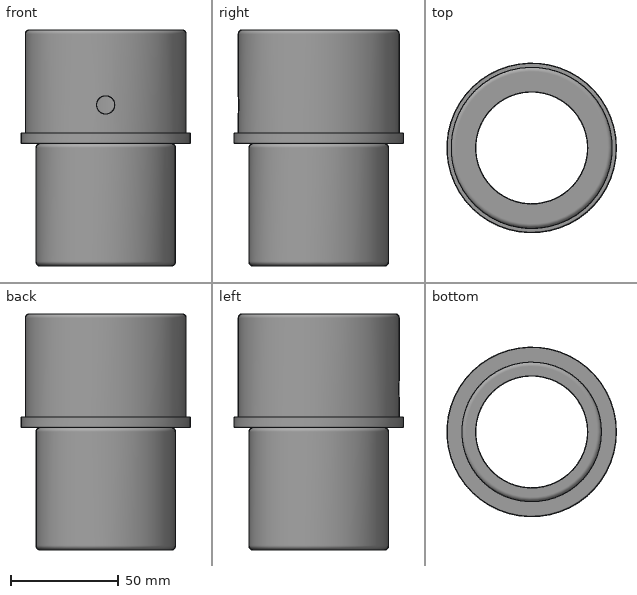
import cadquery as cq

total_height = 110.0
head_diameter = 75.0
head_height = 48.0
flange_diameter = 79.0
flange_thickness = 5.1
spigot_diameter = 65.0
bore_diameter = 52.0
end_fillet = 2.0
flange_fillet = 0.5
hole_diameter = 8.5
hole_drop = 35.0

flange_top = total_height - head_height
flange_bottom = flange_top - flange_thickness
hole_height = total_height - hole_drop


def cylinder(diameter, bottom, top):
    """Solid cylinder on the Z axis between two heights."""
    return cq.Workplane("XY").workplane(offset=bottom).circle(diameter / 2).extrude(top - bottom)


spigot = cylinder(spigot_diameter, 0, flange_bottom).faces("<Z or >Z").edges().fillet(end_fillet)

flange = cylinder(flange_diameter, flange_bottom, flange_top).faces("<Z or >Z").edges().fillet(flange_fillet)

head = cylinder(head_diameter, flange_top, total_height).faces(">Z").edges().fillet(end_fillet)

bore = cylinder(bore_diameter, 0, total_height)

radial_hole = (
    cq.Workplane("XZ")
    .center(0, hole_height)
    .circle(hole_diameter / 2)
    .extrude(head_diameter)
)

result = spigot.union(flange).union(head).cut(bore).cut(radial_hole)